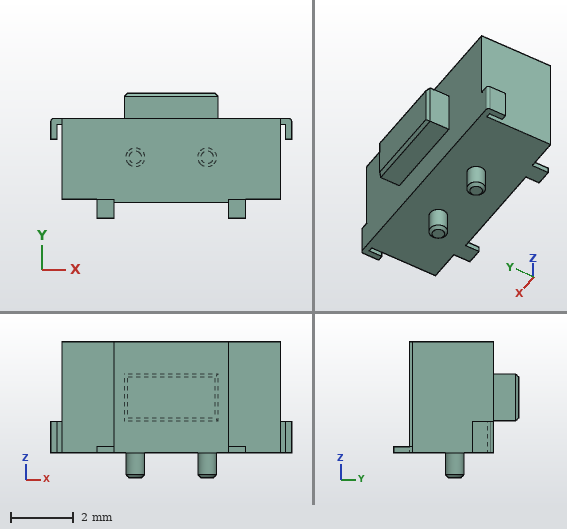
import cadquery as cq

overall_width = 7.7
body_width = 6.99
body_depth = 2.595
body_height = 3.55

panel_width = 3.65
panel_thickness = 0.1

button_width = 3.0
button_height = 1.5
button_length = 0.8
button_base_z = 1.02
edge_chamfer = 0.1

pin_diameter = 0.6
pin_length = 0.8
pin_spacing = 2.295
pin_y = -1.25

sheet_thickness = 0.2
clip_height = 1.0
clip_leg_length = 0.68
clip_bend_radius = 0.1
lead_width = 0.555
lead_length = 0.6


def block(x_min, x_max, y_min, y_max, z_min, z_max):
    """Box spanning the given limits."""
    size = (x_max - x_min, y_max - y_min, z_max - z_min)
    return cq.Workplane("XY").box(*size, centered=False).translate((x_min, y_min, z_min))


def make_body():
    """Main block with the shallow full-height panel on its front."""
    half_body = body_width / 2
    half_panel = panel_width / 2
    main = block(-half_body, half_body, -body_depth, 0, 0, body_height)
    panel = block(-half_panel, half_panel, -body_depth - panel_thickness, 0, 0, body_height)
    return main.union(panel)


def make_button():
    """Rectangular button with a chamfered pressing face."""
    half_button = button_width / 2
    button_top_z = button_base_z + button_height
    button = block(-half_button, half_button, 0, button_length, button_base_z, button_top_z)
    return button.faces(">Y").chamfer(edge_chamfer)


def make_pins():
    """Two round pins with chamfered tips."""
    pins = (
        cq.Workplane("XY")
        .pushPoints([(-pin_spacing / 2, pin_y), (pin_spacing / 2, pin_y)])
        .circle(pin_diameter / 2)
        .extrude(-pin_length)
    )
    return pins.faces("<Z").chamfer(edge_chamfer)


def make_right_clip():
    """L-shaped clip: an arm flush with the back face and a leg bent forward."""
    body_side = body_width / 2
    clip_side = overall_width / 2
    arm = block(body_side, clip_side, -sheet_thickness, 0, 0, clip_height)
    leg = block(clip_side - sheet_thickness, clip_side, -clip_leg_length, 0, 0, clip_height)
    clip = arm.union(leg)
    return clip.edges("|Z and >X and >Y").fillet(clip_bend_radius)


def make_right_lead():
    """Flat lead beside the panel, level with the base."""
    inner_x = panel_width / 2
    front_y = -body_depth - lead_length
    return block(inner_x, inner_x + lead_width, front_y, -body_depth, 0, sheet_thickness)


result = make_body().union(make_button()).union(make_pins())
for right_part in (make_right_clip(), make_right_lead()):
    result = result.union(right_part).union(right_part.mirror("YZ"))